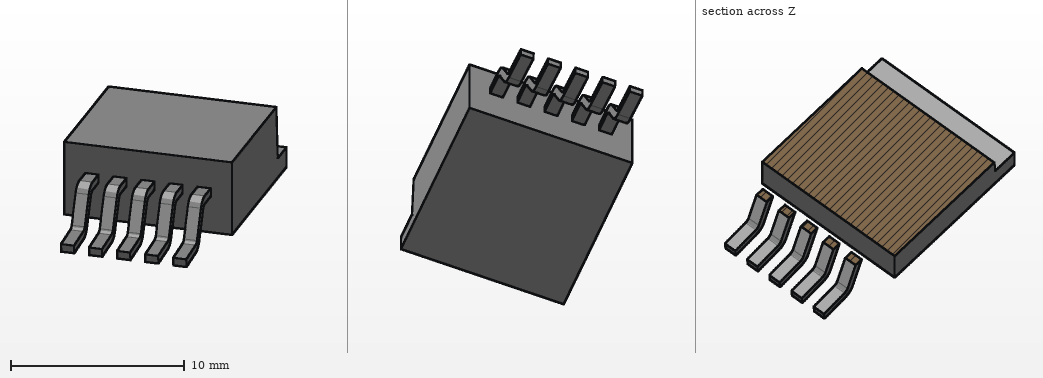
import cadquery as cq
import math

body_width = 10.15
body_length = 10.55
body_height = 4.55
tab_height = 1.24
tab_length = 1.7
top_setback = 1.95

lead_count = 5
lead_pitch = 1.7
lead_width = 0.8
lead_thickness = 0.5
lead_top = 2.77
lead_reach = 15.29 - body_length
shoulder_length = 1.16
slope_length = 1.88
inner_bend_radius = 0.3
slope_angle = math.radians(66)
foot_angle = math.radians(5)


def make_body():
    """Side profile in the YZ plane, front face at Y = 0, extruded across X."""
    profile = [
        (0, 0),
        (body_length, 0),
        (body_length, tab_height),
        (body_length - tab_length, tab_height),
        (body_length - top_setback, body_height),
        (0, body_height),
    ]
    return cq.Workplane("YZ").polyline(profile).close().extrude(body_width / 2, both=True)


def lead_centreline():
    """Shoulder, bend down, slope, bend back and foot; angles are below horizontal."""
    radius = inner_bend_radius + lead_thickness / 2
    sin_slope, cos_slope = math.sin(slope_angle), math.cos(slope_angle)
    sin_foot, cos_foot = math.sin(foot_angle), math.cos(foot_angle)

    start = (0, lead_top - lead_thickness / 2)
    shoulder_end = (-shoulder_length, start[1])
    slope_start = (
        shoulder_end[0] - radius * sin_slope,
        shoulder_end[1] - radius * (1 - cos_slope),
    )
    slope_end = (
        slope_start[0] - slope_length * cos_slope,
        slope_start[1] - slope_length * sin_slope,
    )
    foot_start = (
        slope_end[0] - radius * (sin_slope - sin_foot),
        slope_end[1] - radius * (cos_foot - cos_slope),
    )
    tip_y = -lead_reach + lead_thickness / 2 * sin_foot
    tip_z = foot_start[1] + (tip_y - foot_start[0]) * math.tan(foot_angle)

    return (
        cq.Workplane("YZ")
        .moveTo(*start)
        .lineTo(*shoulder_end)
        .tangentArcPoint(slope_start, relative=False)
        .lineTo(*slope_end)
        .tangentArcPoint(foot_start, relative=False)
        .lineTo(tip_y, tip_z)
    )


def make_lead():
    """One lead, centred on X = 0."""
    section = cq.Workplane("XZ").center(0, lead_top - lead_thickness / 2)
    return section.rect(lead_width, lead_thickness).sweep(lead_centreline())


result = make_body()
lead = make_lead()
for index in range(lead_count):
    lead_x = (index - (lead_count - 1) / 2) * lead_pitch
    result = result.union(lead.translate((lead_x, 0, 0)))